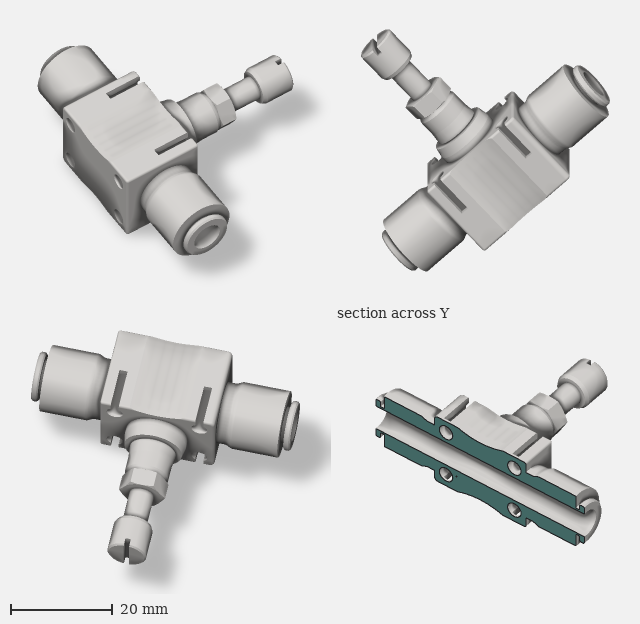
import cadquery as cq
import math


BODY_LENGTH = 23.0
BODY_HEIGHT = 17.0
BODY_DEPTH = 16.9
BODY_BACK = 7.7
BODY_FRONT = BODY_BACK - BODY_DEPTH
EDGE_RADIUS = 0.5
INLET_EDGE_RADIUS = 1.05

HOLLOW_WIDTH = 11.15
HOLLOW_DEPTH = 1.0

HOLE_DIAMETER = 3.2
HOLE_SPACING_X = 17.0
HOLE_SPACING_Z = 11.0
SLOT_WIDTH = 1.6
SLOT_LENGTH = 8.0

OVERALL_LENGTH = 52.0
BORE_RADIUS = 3.0
NECK_RADIUS = 6.1
SLEEVE_RADIUS = 6.65
SLEEVE_START = 14.75
SLEEVE_END = 23.9
TAPER_ANGLE = 26.0
NECK_BEND_LENGTH = 0.6
SHOULDER_BEND_LENGTH = 0.55
COLLET_NECK_RADIUS = 3.6
COLLET_RADIUS = 4.95
COLLET_THICKNESS = 1.3
COLLET_CHAMFER_LENGTH = 0.3
COLLET_CHAMFER_DEPTH = 0.25

BASE_RADIUS = 6.2
BASE_TOP_RADIUS = 5.75
BASE_TAPER_START = 9.1
BASE_TOP = 11.2
FLARE_RADIUS = 4.65
FLARE_EDGE = 0.25
FLARE_END = 13.95
COLLAR_RADIUS = 4.35
COLLAR_CHAMFER_LENGTH = 0.85
COLLAR_CHAMFER_DEPTH = 0.4

NUT_START = 17.9
NUT_END = 21.5
NUT_ACROSS_FLATS = 8.05
NUT_CHAMFER_LENGTH = 0.25
NUT_CHAMFER_RADIUS = 4.0

SPINDLE_RADIUS = 2.45
KNOB_RADIUS = 3.9
KNOB_START = 28.35
KNOB_END = 35.3
KNOB_UNDER_LENGTH = 0.8
KNOB_UNDER_DEPTH = 0.4
KNOB_TOP_CHAMFER = 0.3
DRIVER_SLOT_WIDTH = 1.1
DRIVER_SLOT_DEPTH = 1.55


def body_block():
    """Block with rounded edges, the two inlet edges being rounder than the rest."""
    block = cq.Workplane("XY").box(BODY_LENGTH, BODY_DEPTH, BODY_HEIGHT)
    block = block.translate((0, (BODY_BACK + BODY_FRONT) / 2, 0))
    block = block.edges("|Y and <X").fillet(INLET_EDGE_RADIUS)
    block = block.edges("<Y or >Y or >X").fillet(EDGE_RADIUS)

    half_width = HOLLOW_WIDTH / 2
    hollow_radius = (half_width**2 + HOLLOW_DEPTH**2) / (2 * HOLLOW_DEPTH)
    hollow_centre = BODY_HEIGHT / 2 - HOLLOW_DEPTH + hollow_radius
    hollows = (
        cq.Workplane("XZ", origin=(0, BODY_BACK, 0))
        .pushPoints([(0, hollow_centre), (0, -hollow_centre)])
        .circle(hollow_radius)
        .extrude(BODY_DEPTH)
    )
    return block.cut(hollows)


def mounting_holes():
    """Four holes through the block along Y."""
    return (
        cq.Workplane("XZ", origin=(0, BODY_BACK, 0))
        .rect(HOLE_SPACING_X, HOLE_SPACING_Z, forConstruction=True)
        .vertices()
        .circle(HOLE_DIAMETER / 2)
        .extrude(BODY_DEPTH)
    )


def hole_slots():
    """Slots from the +Z and -Z faces down to the hole axes, open at the +Y face."""
    slot_depth = (BODY_HEIGHT - HOLE_SPACING_Z) / 2
    slot_offset = (BODY_HEIGHT - slot_depth) / 2
    return (
        cq.Workplane("XZ", origin=(0, BODY_BACK, 0))
        .rect(HOLE_SPACING_X, 2 * slot_offset, forConstruction=True)
        .vertices()
        .rect(SLOT_WIDTH, slot_depth)
        .extrude(SLOT_LENGTH)
    )


def fitting():
    """Tube fitting on the +X side: neck, smooth taper, sleeve and release collet."""
    slope = math.tan(math.radians(TAPER_ANGLE))
    bend_slope = math.tan(math.radians(TAPER_ANGLE / 2))
    neck_rise = NECK_BEND_LENGTH * bend_slope
    shoulder_rise = SHOULDER_BEND_LENGTH * bend_slope
    straight_rise = SLEEVE_RADIUS - NECK_RADIUS - neck_rise - shoulder_rise
    shoulder_start = SLEEVE_START - SHOULDER_BEND_LENGTH
    taper_start = shoulder_start - straight_rise / slope
    neck_end = taper_start - NECK_BEND_LENGTH

    collet_end = OVERALL_LENGTH / 2
    collet_start = collet_end - COLLET_THICKNESS
    profile = (
        cq.Workplane("XY")
        .lineTo(0, NECK_RADIUS)
        .lineTo(neck_end, NECK_RADIUS)
        .tangentArcPoint((taper_start, NECK_RADIUS + neck_rise), relative=False)
        .lineTo(shoulder_start, SLEEVE_RADIUS - shoulder_rise)
        .tangentArcPoint((SLEEVE_START, SLEEVE_RADIUS), relative=False)
        .lineTo(SLEEVE_END, SLEEVE_RADIUS)
        .lineTo(SLEEVE_END, COLLET_NECK_RADIUS)
        .lineTo(collet_start, COLLET_NECK_RADIUS)
        .lineTo(collet_start, COLLET_RADIUS - COLLET_CHAMFER_DEPTH)
        .lineTo(collet_start + COLLET_CHAMFER_LENGTH, COLLET_RADIUS)
        .lineTo(collet_end - COLLET_CHAMFER_LENGTH, COLLET_RADIUS)
        .lineTo(collet_end, COLLET_RADIUS - COLLET_CHAMFER_DEPTH)
        .lineTo(collet_end, 0)
        .close()
    )
    return profile.revolve(360, (0, 0, 0), (1, 0, 0))


def stem():
    """Turned base, collar, spindle and knob about the Y axis, with a driver slot in the knob."""
    outline = [
        (0, 0),
        (BASE_RADIUS, 0),
        (BASE_RADIUS, BASE_TAPER_START),
        (BASE_TOP_RADIUS, BASE_TOP),
        (FLARE_RADIUS - FLARE_EDGE, BASE_TOP),
        (FLARE_RADIUS, BASE_TOP + FLARE_EDGE),
        (COLLAR_RADIUS, FLARE_END),
        (COLLAR_RADIUS, NUT_START - COLLAR_CHAMFER_LENGTH),
        (COLLAR_RADIUS - COLLAR_CHAMFER_DEPTH, NUT_START),
        (SPINDLE_RADIUS, NUT_START),
        (SPINDLE_RADIUS, KNOB_START),
        (KNOB_RADIUS - KNOB_UNDER_DEPTH, KNOB_START),
        (KNOB_RADIUS, KNOB_START + KNOB_UNDER_LENGTH),
        (KNOB_RADIUS, KNOB_END - KNOB_TOP_CHAMFER),
        (KNOB_RADIUS - KNOB_TOP_CHAMFER, KNOB_END),
        (0, KNOB_END),
    ]
    turned = cq.Workplane("XY").polyline(outline).close().revolve(360, (0, 0, 0), (0, 1, 0))
    driver_slot = (
        cq.Workplane("XY")
        .box(DRIVER_SLOT_WIDTH, 2 * DRIVER_SLOT_DEPTH, 2 * KNOB_RADIUS)
        .translate((0, KNOB_END, 0))
    )
    return turned.cut(driver_slot)


def lock_nut():
    """Hexagon nut with corners on the X axis and both ends chamfered by a cone."""
    corner_radius = NUT_ACROSS_FLATS / math.sqrt(3)
    hexagon = (
        cq.Workplane("XZ", origin=(0, NUT_END, 0))
        .polygon(6, 2 * corner_radius)
        .extrude(NUT_END - NUT_START)
    )
    envelope_outline = [
        (0, NUT_START),
        (NUT_CHAMFER_RADIUS, NUT_START),
        (corner_radius, NUT_START + NUT_CHAMFER_LENGTH),
        (corner_radius, NUT_END - NUT_CHAMFER_LENGTH),
        (NUT_CHAMFER_RADIUS, NUT_END),
        (0, NUT_END),
    ]
    envelope = cq.Workplane("XY").polyline(envelope_outline).close().revolve(360, (0, 0, 0), (0, 1, 0))
    return hexagon.intersect(envelope)


right_fitting = fitting()
left_fitting = right_fitting.mirror("YZ")
bore = cq.Workplane("YZ").circle(BORE_RADIUS).extrude(OVERALL_LENGTH / 2, both=True)

result = (
    body_block()
    .union(right_fitting)
    .union(left_fitting)
    .union(stem())
    .union(lock_nut())
    .cut(mounting_holes())
    .cut(hole_slots())
    .cut(bore)
)